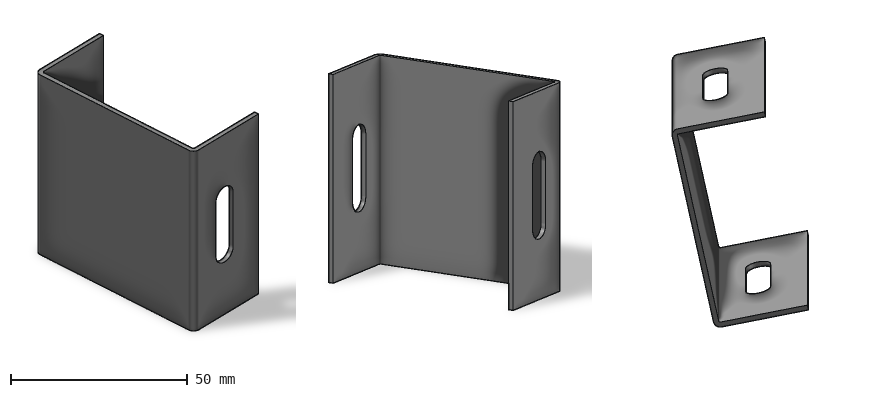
import cadquery as cq

width = 60.95
depth = 27.0
height = 60.95

sheet = 1.5
inner_bend_radius = 0.5
outer_bend_radius = inner_bend_radius + sheet

slot_length = 25.5
slot_width = 7.2
slot_from_web = 12.8


def block_with_round_front(size_x, size_y, front_y, radius):
    """Upright block whose two vertical edges at the front (-Y) are rounded."""
    block = cq.Workplane("XY").box(size_x, size_y, height, centered=(True, False, True))
    return block.edges("|Z and <Y").fillet(radius).translate((0, front_y, 0))


def make_channel():
    """Bent U channel, open at the back, top and bottom."""
    outside = block_with_round_front(width, depth, 0, outer_bend_radius)
    inside = block_with_round_front(width - 2 * sheet, depth, sheet, inner_bend_radius)
    return outside.cut(inside)


def make_slot_cutter():
    """Upright slot running along X through both flanges."""
    return (
        cq.Workplane("YZ")
        .center(slot_from_web, 0)
        .slot2D(slot_length, slot_width, 90)
        .extrude(width / 2, both=True)
    )


result = make_channel().cut(make_slot_cutter())